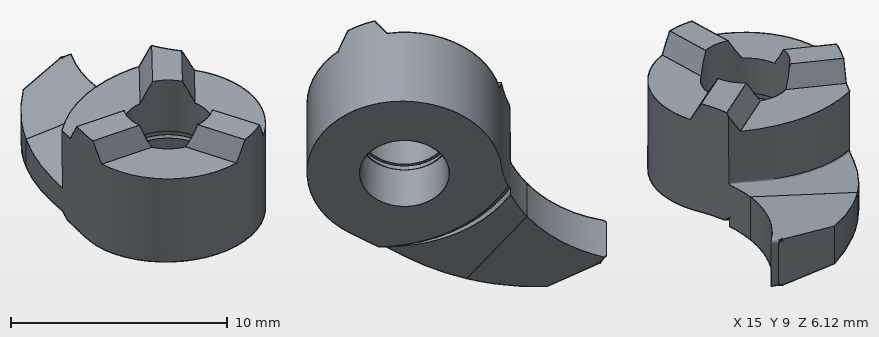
import cadquery as cq
import math

HUB_RADIUS = 4.5
BORE_RADIUS = 2.07
SEAT_HEIGHT = 4.74
TOTAL_HEIGHT = 5.75
OVERSIZE = 9.0
CLEARANCE = 0.15

GROOVE_DEPTH = 0.1
GROOVE_TOP = 2.88
GROOVE_WALL_BOTTOM = 2.61
GROOVE_BOTTOM = 2.49

RIDGE_COUNT = 3
RIDGE_TOP_WIDTH = 1.38
RIDGE_FLANK_ANGLE = 30.0
RIDGE_FIRST_ANGLE = 30.0

RELIEF_START_X = 1.5
RELIEF_HEIGHT = 0.09

TIP_X = HUB_RADIUS - 15.0
TIP_BACK_Y = 1.02
TIP_FRONT_Y = 0.66
HEEL_X = -9.33
HEEL_Y = -2.22
FLANK_TANGENT_X = -2.95
HOLLOW_CENTER_X = -8.34
HOLLOW_Y = 0.68
HOLLOW_END_X = -3.57
TIP_EDGE_RADIUS = 0.18
SPLIT_X = -6.08

BLADE_MID_Z = 0.88
TIP_HALF_THICKNESS = 1.26
TAPER_X = 0.028
TAPER_Y = 0.07
TAPER_START_Y = 1.04

SHOULDER_X = -4.66
SHOULDER_RADIUS = 7.11
SHOULDER_LEAN = (-0.05, 0.08)
SHOULDER_FILLET = 0.09
UNDERSIDE_BEVEL = 0.25


def three_point_arc_mid(start, end, sag_point):
    """Point on the circle through start with lowest point sag_point, halfway in X from there to end."""
    run = start[0] - sag_point[0]
    rise = start[1] - sag_point[1]
    radius = (run ** 2 + rise ** 2) / (2 * rise)
    x = (sag_point[0] + end[0]) / 2
    y = sag_point[1] + radius - math.sqrt(radius ** 2 - (x - sag_point[0]) ** 2)
    return (x, y)


def outline(bottom, top):
    """Prism of the whole plan outline, from bottom to top."""
    tip = (TIP_X, TIP_BACK_Y)
    hollow = (HOLLOW_CENTER_X, HOLLOW_Y)
    hollow_end = (HOLLOW_END_X, math.sqrt(HUB_RADIUS ** 2 - HOLLOW_END_X ** 2))
    return (
        cq.Workplane("XY", origin=(0, 0, bottom))
        .moveTo(0, -HUB_RADIUS)
        .lineTo(FLANK_TANGENT_X, -HUB_RADIUS)
        .tangentArcPoint((HEEL_X, HEEL_Y), relative=False)
        .lineTo(TIP_X, TIP_FRONT_Y)
        .lineTo(*tip)
        .threePointArc(three_point_arc_mid(tip, hollow_end, hollow), hollow_end)
        .threePointArc((HUB_RADIUS, 0), (0, -HUB_RADIUS))
        .close()
        .extrude(top - bottom)
    )


def shoulder_wire(plane_z, shift, inset=0.0):
    """Region on the hub side of the curved shoulder, at one height."""
    left = SHOULDER_X + inset + shift[0]
    center_x = SHOULDER_X + SHOULDER_RADIUS + shift[0]
    center_y = TAPER_START_Y + shift[1]
    radius = SHOULDER_RADIUS - inset
    diagonal = radius * math.sqrt(0.5)
    return (
        cq.Workplane("XY", origin=(0, 0, plane_z))
        .moveTo(left, OVERSIZE)
        .lineTo(left, center_y)
        .threePointArc((center_x - diagonal, center_y - diagonal), (center_x, center_y - radius))
        .lineTo(OVERSIZE, center_y - radius)
        .lineTo(OVERSIZE, OVERSIZE)
        .close()
        .val()
    )


def shoulder_region():
    """Hub-side space: leaning wall above the blade, upright wall beside it, bevel at the bottom."""
    mid_z = BLADE_MID_Z
    beyond_seat = (TOTAL_HEIGHT - SEAT_HEIGHT) / (SEAT_HEIGHT - mid_z)
    top_shift = [-part * beyond_seat for part in SHOULDER_LEAN]
    upper = cq.Solid.makeLoft(
        [shoulder_wire(mid_z, SHOULDER_LEAN), shoulder_wire(TOTAL_HEIGHT, top_shift)], True
    )
    lower = cq.Solid.makeLoft(
        [shoulder_wire(UNDERSIDE_BEVEL, SHOULDER_LEAN), shoulder_wire(mid_z, SHOULDER_LEAN)], True
    )
    bevel = cq.Solid.makeLoft(
        [
            shoulder_wire(0, SHOULDER_LEAN, UNDERSIDE_BEVEL),
            shoulder_wire(UNDERSIDE_BEVEL, SHOULDER_LEAN),
        ],
        True,
    )
    return cq.Workplane(upper).union(cq.Workplane(lower)).union(cq.Workplane(bevel))


def blade_section(x):
    """Cross-section of the blade space at a given X."""
    half = TIP_HALF_THICKNESS - TAPER_X * (x - TIP_X)
    front_y = -HUB_RADIUS - CLEARANCE
    front_half = half - TAPER_Y * (TAPER_START_Y - front_y)
    upper = [(front_y, front_half), (TAPER_START_Y, half), (OVERSIZE, half)]
    lower = [(y, -z) for y, z in reversed(upper)]
    return (
        cq.Workplane("YZ", origin=(x, 0, BLADE_MID_Z))
        .polyline(upper + lower)
        .close()
        .val()
    )


def blade():
    """Tapered blade, carried on into the hub."""
    space = cq.Solid.makeLoft([blade_section(TIP_X - CLEARANCE), blade_section(0)], True)
    return outline(-OVERSIZE, OVERSIZE).intersect(cq.Workplane(space))


def ridges():
    """Radial driving ridges with sloping flanks on the seat face."""
    top_half = RIDGE_TOP_WIDTH / 2
    height = TOTAL_HEIGHT - SEAT_HEIGHT
    base_half = top_half + height * math.tan(math.radians(RIDGE_FLANK_ANGLE))
    ridge = (
        cq.Workplane("YZ", origin=(0, 0, SEAT_HEIGHT))
        .polyline([(-base_half, 0), (base_half, 0), (top_half, height), (-top_half, height)])
        .close()
        .extrude(OVERSIZE)
    )
    group = cq.Workplane()
    for index in range(RIDGE_COUNT):
        angle = RIDGE_FIRST_ANGLE + index * 360 / RIDGE_COUNT
        group = group.union(ridge.rotate((0, 0, 0), (0, 0, 1), angle))
    return group


def bore():
    """Through bore with a shallow groove."""
    groove_radius = BORE_RADIUS + GROOVE_DEPTH
    return (
        cq.Workplane("XZ")
        .moveTo(0, -OVERSIZE)
        .lineTo(BORE_RADIUS, -OVERSIZE)
        .lineTo(BORE_RADIUS, GROOVE_BOTTOM)
        .lineTo(groove_radius, GROOVE_WALL_BOTTOM)
        .lineTo(groove_radius, GROOVE_TOP)
        .lineTo(BORE_RADIUS, GROOVE_TOP)
        .lineTo(BORE_RADIUS, OVERSIZE)
        .lineTo(0, OVERSIZE)
        .close()
        .revolve(360, (0, 0, 0), (0, 1, 0))
    )


def bottom_relief():
    """Thin wedge removed under the hub."""
    return (
        cq.Workplane("XZ")
        .polyline([(RELIEF_START_X, 0), (HUB_RADIUS, 0), (HUB_RADIUS, RELIEF_HEIGHT)])
        .close()
        .extrude(OVERSIZE, both=True)
    )


def tip_side():
    """Half space on the tip side of the joint."""
    size = 4 * OVERSIZE
    return cq.Workplane("XY").box(size, size, size).translate((SPLIT_X - size / 2, 0, 0))


def make_tip():
    """Cutting tip with a rounded end edge."""
    tip = blade().intersect(tip_side())
    return tip.faces("<X").edges("not |Z").fillet(TIP_EDGE_RADIUS)


def make_holder():
    """Hub with its ridges, bore and the root of the blade."""
    region = shoulder_region()
    hub = outline(0, SEAT_HEIGHT).union(ridges().intersect(outline(SEAT_HEIGHT, TOTAL_HEIGHT)))
    hub = hub.intersect(region)
    under_hub = cq.Workplane(
        cq.Solid.makeLoft(
            [shoulder_wire(-OVERSIZE, SHOULDER_LEAN), shoulder_wire(BLADE_MID_Z, SHOULDER_LEAN)], True
        )
    )
    root = blade().cut(tip_side()).cut(under_hub)
    holder = hub.union(root)
    shoulder_edges = cq.selectors.BoxSelector(
        (SHOULDER_X - CLEARANCE, -HUB_RADIUS + 4 * CLEARANCE, BLADE_MID_Z),
        (FLANK_TANGENT_X, HUB_RADIUS, BLADE_MID_Z + TIP_HALF_THICKNESS),
    )
    holder = holder.edges(shoulder_edges).fillet(SHOULDER_FILLET)
    return holder.cut(bore()).cut(bottom_relief())


tip = make_tip()
holder = make_holder()

result = cq.Compound.makeCompound([tip.val(), holder.val()])